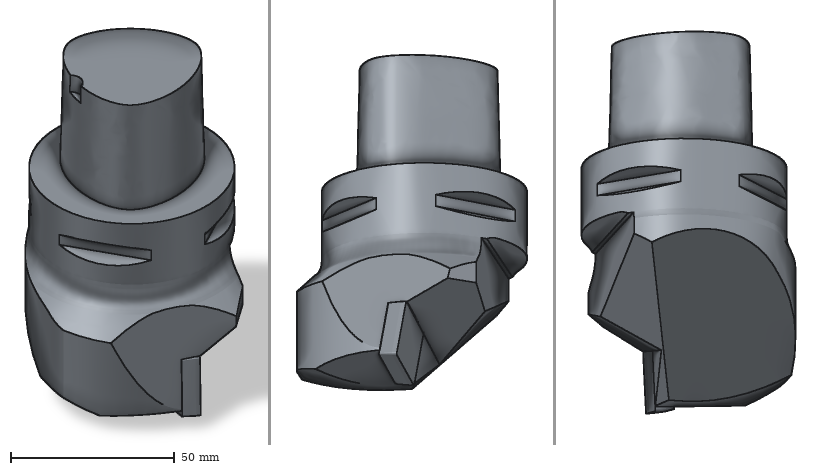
import cadquery as cq
import math

top_z = 37.9
lowest_z = -69.7

shank_base_radius = 22.2
shank_top_radius = 21.2
lobe_height = 1.5
lobe_count = 3
shank_points = 36
notch_diameter = 8.0
notch_depth = 6.1
notch_centre_y = -21.5

flange_radius = 63.0 / 2
flange_bottom_z = -22.4
slot_floor_distance = 27.9
slot_floor_height = 3.7
slot_mouth_height = 7.7
slot_middle_z = -11.9
slot_count = 4

neck_middle = (32.6, -26.8)
neck_end = (35.9, -30.4)
cone_reach = 32.3

head_radius = 31.7
back_y = 22.0
front_y = -36.5
head_arc_end_x = -20.1
front_flat_start_x = 9.6
front_flat_end_x = 15.6
front_left_arc_turn = 43.8
corner_arc_end = (22.0, -35.4)
corner_arc_turn = 17.8
nose_arc_middle = (34.3, -25.1)
nose_arc_end = (42.9, -6.7)
nose_end = (44.1, 0)
back_chamfer_start_x = 31.0
back_chamfer_end = (44.1, 11.6)

undercut_z = -21.4
undercut_radius = 4.1

belly_points = ((-31.6, 0, -28.8), (18.8, 0, -68.4), (-31.6, 10.8, -28.8))
back_bevel_points = ((-27.1, 17.6, -32.4), (4.7, 5.3, -57.3), (-22.8, 22.0, -29.4))
side_face_points = ((34.3, -25.1, -37.9), (39.3, 15.5, -36.7), (42.8, -7.0, -61.5))
insert_relief_points = ((32.3, -26.9, -64.2), (42.8, -7.0, -62.7), (25.3, -4.3, -68.4))
gullet_roof_points = ((5.4, 5.3, -57.3), (39.8, 2.2, -47.0), (16.7, 22.0, -44.2))

clearance_start = (-36.5, -60.6)
clearance_middle = (-21.5, -66.3)
clearance_end = (-3.5, -68.5)

insert_tip = (45.3, -0.1, -65.1)
insert_top_corner = (40.8, 2.0, -46.9)
insert_low_corner = (26.6, 1.9, -69.6)
insert_side = 19.1
insert_land = 1.6
insert_thickness = 5.9
insert_taper = 5
insert_corner_radius = 0.8

block = 215.1


def shank_section(mean_radius):
    """Points of a three-lobed curve of constant width, one lobe toward +Y."""
    points = []
    for i in range(shank_points):
        angle = 2 * math.pi * i / shank_points
        lobe_angle = lobe_count * (angle - math.pi / 2)
        reach = mean_radius + lobe_height * math.cos(lobe_angle)
        slope = -lobe_count * lobe_height * math.sin(lobe_angle)
        x = reach * math.cos(angle) - slope * math.sin(angle)
        y = reach * math.sin(angle) + slope * math.cos(angle)
        points.append((x, y))
    return points


def make_shank():
    shank = (
        cq.Workplane("XY")
        .spline(shank_section(shank_base_radius), periodic=True)
        .close()
        .workplane(offset=top_z)
        .spline(shank_section(shank_top_radius), periodic=True)
        .close()
        .loft(ruled=True, combine=True)
    )
    notch = (
        cq.Workplane("XY", origin=(0, notch_centre_y, top_z - notch_depth))
        .circle(notch_diameter / 2)
        .extrude(notch_depth)
    )
    return shank.cut(notch)


def make_gripper_slot(angle):
    """Trapezoidal groove across the rim, widening outward, turned about Z."""
    slope = (slot_mouth_height - slot_floor_height) / 2 / (flange_radius - slot_floor_distance)
    outer = flange_radius + 1.1
    outer_half = slot_floor_height / 2 + slope * (outer - slot_floor_distance)
    floor_half = slot_floor_height / 2
    return (
        cq.Workplane("XZ")
        .polyline([
            (slot_floor_distance, slot_middle_z - floor_half),
            (outer, slot_middle_z - outer_half),
            (outer, slot_middle_z + outer_half),
            (slot_floor_distance, slot_middle_z + floor_half),
        ])
        .close()
        .extrude(flange_radius, both=True)
        .rotate((0, 0, 0), (0, 0, 1), angle)
    )


def make_flange():
    flange = cq.Workplane("XY").circle(flange_radius).extrude(flange_bottom_z)
    for i in range(slot_count):
        flange = flange.cut(make_gripper_slot((i + 0.5) * 360 / slot_count))
    return flange


def beyond_plane(points, outward):
    """Block on the outward side of the plane through three points."""
    origin, second, third = (cq.Vector(*p) for p in points)
    normal = (second - origin).cross(third - origin)
    if normal.dot(cq.Vector(*outward)) < 0:
        normal = normal * -1
    plane = cq.Plane(origin=origin, xDir=second - origin, normal=normal)
    return cq.Workplane(plane).rect(block, block).extrude(block)


def turned_arc_middle(start_x, end, turn_degrees):
    """Middle of an arc that leaves the front flat at start_x, turns by an angle and stops at end."""
    side = math.copysign(1, end[0] - start_x)
    turn = math.radians(turn_degrees)
    radius = abs(end[0] - start_x) / math.sin(turn)
    x = start_x + side * radius * math.sin(turn / 2)
    y = front_y + radius * (1 - math.cos(turn / 2))
    return (x, y)


def make_head_prism():
    head_arc_end = (head_arc_end_x, -math.sqrt(head_radius**2 - head_arc_end_x**2))
    left_middle = turned_arc_middle(front_flat_start_x, head_arc_end, front_left_arc_turn)
    corner_middle = turned_arc_middle(front_flat_end_x, corner_arc_end, corner_arc_turn)
    return (
        cq.Workplane("XY", origin=(0, 0, flange_bottom_z))
        .moveTo(-math.sqrt(head_radius**2 - back_y**2), back_y)
        .threePointArc((-head_radius, 0), head_arc_end)
        .threePointArc(left_middle, (front_flat_start_x, front_y))
        .lineTo(front_flat_end_x, front_y)
        .threePointArc(corner_middle, corner_arc_end)
        .threePointArc(nose_arc_middle, nose_arc_end)
        .lineTo(*nose_end)
        .lineTo(*back_chamfer_end)
        .lineTo(back_chamfer_start_x, back_y)
        .close()
        .extrude(lowest_z - flange_bottom_z)
    )


def make_neck_envelope():
    """Solid of revolution that shapes the shoulder of the head."""
    cone_end = (neck_end[0] + cone_reach, neck_end[1] - cone_reach)
    return (
        cq.Workplane("XZ")
        .moveTo(0, flange_bottom_z)
        .lineTo(flange_radius, flange_bottom_z)
        .threePointArc(neck_middle, neck_end)
        .lineTo(*cone_end)
        .lineTo(cone_end[0], lowest_z)
        .lineTo(0, lowest_z)
        .close()
        .revolve(360, (0, 0), (0, 1))
    )


def make_nose_clearance():
    """Everything below the curved clearance, running along X."""
    return (
        cq.Workplane("YZ")
        .moveTo(*clearance_start)
        .threePointArc(clearance_middle, clearance_end)
        .lineTo(block, clearance_end[1])
        .lineTo(block, -block)
        .lineTo(-block, -block)
        .lineTo(-block, clearance_start[1])
        .close()
        .extrude(block, both=True)
    )


def make_back_undercut():
    """Relief behind the flat back, blended into the underside of the flange."""
    return (
        cq.Workplane("XY")
        .box(block, block, block, centered=(True, False, False))
        .translate((0, back_y, undercut_z - block))
        .edges("<Y and >Z")
        .fillet(undercut_radius)
    )


def make_gullet():
    """Chip space below the roof plane and behind the rake face of the insert."""
    below_roof = beyond_plane(gullet_roof_points, (0, 0, -1))
    behind_rake = beyond_plane((insert_tip, insert_top_corner, insert_low_corner), (0, 1, 0))
    return below_roof.intersect(behind_rake)


def make_insert():
    """Square plate with a straight land at the rake face and tapered flanks below it."""
    tip = cq.Vector(*insert_tip)
    up_edge = cq.Vector(*insert_top_corner) - tip
    low_edge = cq.Vector(*insert_low_corner) - tip
    plane = cq.Plane(origin=tip, xDir=up_edge, normal=up_edge.cross(low_edge))
    middle = insert_side / 2
    outline = (
        cq.Sketch()
        .rect(insert_side, insert_side)
        .vertices()
        .fillet(insert_corner_radius)
    )
    face = cq.Workplane(plane).center(middle, middle)
    land = face.placeSketch(outline).extrude(insert_land)
    flanks = (
        face.workplane(offset=insert_land)
        .placeSketch(outline)
        .extrude(insert_thickness - insert_land, taper=insert_taper)
    )
    return land.union(flanks)


def make_holder(insert):
    head = make_head_prism().intersect(make_neck_envelope())
    head = head.cut(beyond_plane(belly_points, (0, 0, -1)))
    head = head.cut(beyond_plane(back_bevel_points, (0, 1, -1)))
    head = head.cut(beyond_plane(side_face_points, (1, 0, 0)))
    head = head.cut(beyond_plane(insert_relief_points, (0, 0, -1)))
    head = head.cut(make_nose_clearance())
    head = head.cut(make_gullet())
    holder = make_flange().union(head).cut(make_back_undercut())
    return holder.union(make_shank()).cut(insert)


cutting_insert = make_insert()
holder = make_holder(cutting_insert)

result = cq.Compound.makeCompound([*holder.vals(), cutting_insert.val()])